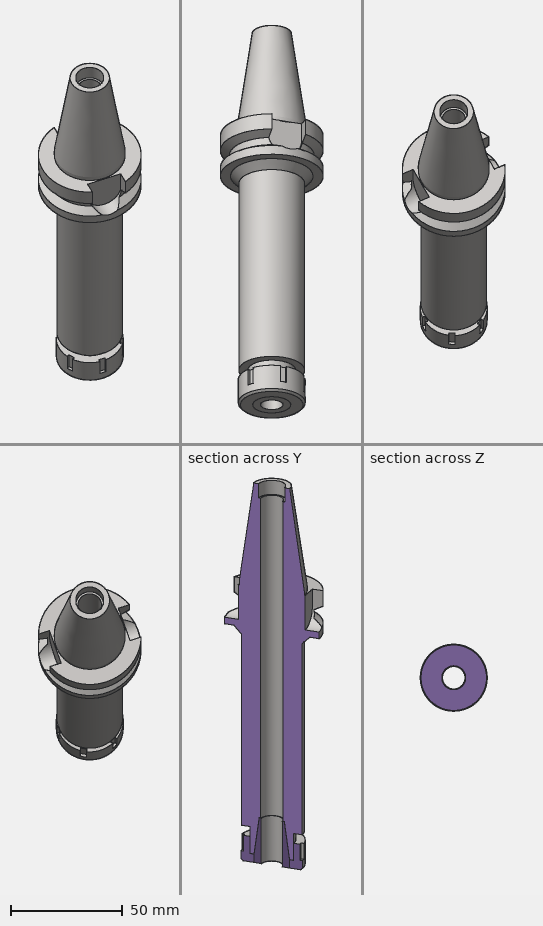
import cadquery as cq
import math


taper_length = 48.4
gauge_radius = 31.75 / 2
taper_ratio = 7 / 24
taper_top_radius = gauge_radius - taper_length * taper_ratio / 2

flange_radius = 46 / 2
flange_top = -2.0
flange_bottom = -22.0
groove_centre = -13.6
groove_floor_radius = 38 / 2
groove_flank_angle = 30
groove_half_width = 4.1
groove_flank_height = (flange_radius - groove_floor_radius) * math.tan(math.radians(groove_flank_angle))
groove_floor_half_width = groove_half_width - groove_flank_height

keyway_width = 16.1
keyway_floor_distance = 16.3
keyway_bottom = -18.6

body_radius = 29.5 / 2
shoulder_height = 3.7
shoulder_bottom = flange_bottom - shoulder_height
nut_face = -135.0
body_bottom = -118.0
nose_radius = 21.5 / 2
nut_lip = 4.0
nose_bottom = nut_face + nut_lip

drawbar_radius = 12.5 / 2
drawbar_depth = 6.8
through_radius = 10.5 / 2

nut_radius = 30 / 2
nut_height = 12.5
nut_top = nut_face + nut_height
nut_chamfer = 1.0
slot_count = 6
slot_width = 2.8
slot_depth = 1.3
slot_length = 7.7

collet_radius = 17 / 2
collet_bore_radius = 10 / 2
collet_half_angle = 8
collet_taper_length = 18.0
collet_top = nose_bottom + collet_taper_length
collet_top_radius = collet_radius - collet_taper_length * math.tan(math.radians(collet_half_angle))


def revolve_profile(points):
    """Turn a closed (radius, z) outline about the Z axis."""
    return cq.Workplane("XZ").polyline(points).close().revolve(360, (0, 0, 0), (0, 1, 0))


def cylinder(radius, bottom, top):
    return cq.Workplane("XY").workplane(offset=bottom).circle(radius).extrude(top - bottom)


def make_collet_envelope():
    """Outside shape of the collet, shared by the collet and its seat."""
    return revolve_profile([
        (0, nut_face),
        (collet_radius, nut_face),
        (collet_radius, nose_bottom),
        (collet_top_radius, collet_top),
        (0, collet_top),
    ])


def make_keyway_cutters():
    """Two round-ended slots that open upward and outward, on +X and -X."""
    end_radius = keyway_width / 2
    arc_centre = keyway_bottom + end_radius
    cutter = (
        cq.Workplane("YZ")
        .workplane(offset=keyway_floor_distance)
        .moveTo(-end_radius, flange_top)
        .lineTo(-end_radius, arc_centre)
        .threePointArc((0, keyway_bottom), (end_radius, arc_centre))
        .lineTo(end_radius, flange_top)
        .close()
        .extrude(flange_radius)
    )
    return cutter.union(cutter.mirror("YZ"))


def make_holder():
    outside = revolve_profile([
        (0, taper_length),
        (taper_top_radius, taper_length),
        (gauge_radius, 0),
        (gauge_radius, flange_top),
        (flange_radius, flange_top),
        (flange_radius, groove_centre + groove_half_width),
        (groove_floor_radius, groove_centre + groove_floor_half_width),
        (groove_floor_radius, groove_centre - groove_floor_half_width),
        (flange_radius, groove_centre - groove_half_width),
        (flange_radius, flange_bottom),
        (body_radius + shoulder_height, flange_bottom),
        (body_radius, shoulder_bottom),
        (body_radius, body_bottom),
        (nose_radius, body_bottom),
        (nose_radius, nose_bottom),
        (0, nose_bottom),
    ])
    return (
        outside
        .cut(make_keyway_cutters())
        .cut(cylinder(drawbar_radius, taper_length - drawbar_depth, taper_length))
        .cut(cylinder(through_radius, nose_bottom, taper_length))
        .cut(make_collet_envelope())
    )


def make_nut():
    nut = cylinder(nut_radius, nut_face, nut_top).faces("<Z").chamfer(nut_chamfer)
    nut = nut.cut(cylinder(nose_radius, nose_bottom, nut_top))
    nut = nut.cut(cylinder(collet_radius, nut_face, nose_bottom))
    slot = cq.Workplane("XY").box(
        2 * slot_depth, slot_width, slot_length, centered=(True, True, False)
    ).translate((nut_radius, 0, nut_top - slot_length))
    for i in range(slot_count):
        nut = nut.cut(slot.rotate((0, 0, 0), (0, 0, 1), i * 360 / slot_count))
    return nut


def make_collet():
    return make_collet_envelope().cut(cylinder(collet_bore_radius, nut_face, collet_top))


holder = make_holder()
nut = make_nut()
collet = make_collet()

result = cq.Compound.makeCompound([holder.val(), nut.val(), collet.val()])